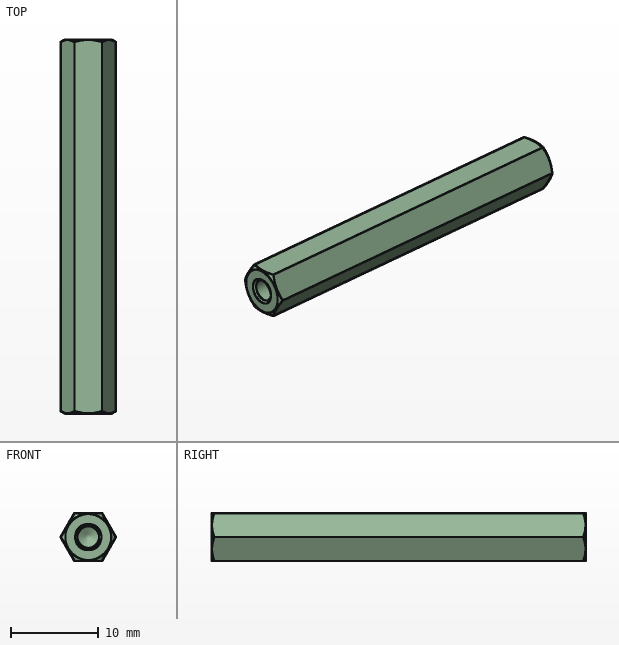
import cadquery as cq
import math

length = 43.0
across_flats = 5.5
across_corners = across_flats / math.cos(math.pi / 6)

end_face_diameter = 5.3
chamfer_angle = 30.0

hole_diameter = 2.5
mouth_diameter = 3.0
hole_depth = 8.6
drill_point_angle = 118.0


def hexagonal_bar():
    return (
        cq.Workplane("XZ")
        .polygon(6, across_corners)
        .extrude(length / 2, both=True)
    )


def chamfer_envelope():
    """Round bar with coned ends, just large enough to hold the hexagon."""
    outer_radius = across_corners / 2
    face_radius = end_face_diameter / 2
    cone_length = (outer_radius - face_radius) * math.tan(math.radians(chamfer_angle))
    half_length = length / 2
    shoulder = half_length - cone_length
    return (
        cq.Workplane("XY")
        .moveTo(0, -half_length)
        .lineTo(face_radius, -half_length)
        .lineTo(outer_radius, -shoulder)
        .lineTo(outer_radius, shoulder)
        .lineTo(face_radius, half_length)
        .lineTo(0, half_length)
        .close()
        .revolve(360, (0, 0, 0), (0, 1, 0))
    )


def front_hole():
    """Hole entering from the -Y end: 45 degree mouth, bore and conical tip."""
    hole_radius = hole_diameter / 2
    mouth_radius = mouth_diameter / 2
    mouth_depth = mouth_radius - hole_radius
    tip_length = hole_radius / math.tan(math.radians(drill_point_angle / 2))
    end_y = -length / 2
    return (
        cq.Workplane("XY")
        .moveTo(0, end_y)
        .lineTo(mouth_radius, end_y)
        .lineTo(hole_radius, end_y + mouth_depth)
        .lineTo(hole_radius, end_y + hole_depth)
        .lineTo(0, end_y + hole_depth + tip_length)
        .close()
        .revolve(360, (0, 0, 0), (0, 1, 0))
    )


hole = front_hole()
result = (
    hexagonal_bar()
    .intersect(chamfer_envelope())
    .cut(hole)
    .cut(hole.mirror("XZ"))
)